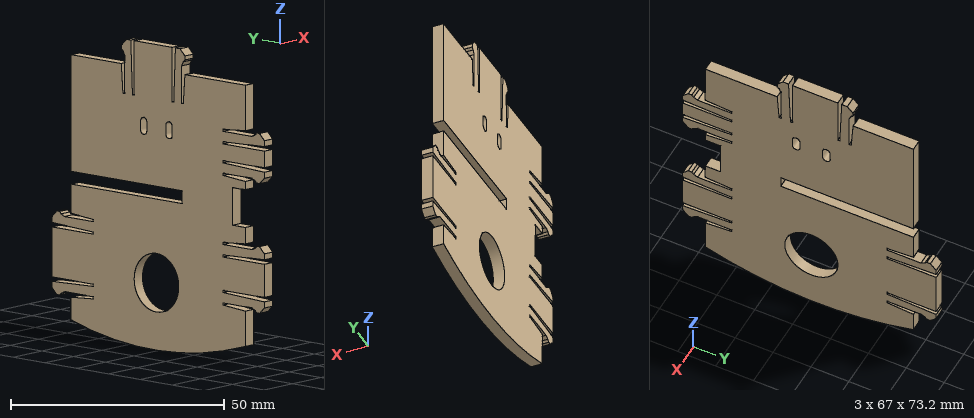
import cadquery as cq
import math

THICKNESS = 3.0
TOTAL_HEIGHT = 73.15
BODY_WIDTH = 55.0
BOTTOM_RADIUS = 93.6

TAB_REACH = 6.0
SLOT_DEPTH = 7.0
CORE_GAP_TIP = 1.0
CORE_GAP_ROOT = 0.5
FINGER_OUTSIDE = 3.0
OUTER_SLOT_ROOT = 3.5
HOOK_OUTSIDE = 4.0
HOOK_CHAMFER = 1.5
HOOK_FLAT = 0.95
HOOK_BACK_STEP = 0.5
NECK_SLOPE_LENGTH = 1.0

TOP_CORE = 12.0
LEFT_CORE = 12.0
UPPER_RIGHT_CORE = 4.0
LOWER_RIGHT_CORE = 8.0

EDGE_Y = BODY_WIDTH / 2
BODY_TOP = TOTAL_HEIGHT / 2 - TAB_REACH
BODY_BOTTOM = -TOTAL_HEIGHT / 2

TOP_TAB_Y = 1.5
LEFT_TAB_Z = BODY_TOP - 48.0
UPPER_RIGHT_TAB_Z = BODY_TOP - 17.0
LOWER_RIGHT_TAB_Z = BODY_TOP - 46.0

LONG_SLOT_LENGTH = 35.0
LONG_SLOT_TOP = BODY_TOP - 27.95
LONG_SLOT_WIDTH = 3.0
NOTCH_DEPTH = 4.0
NOTCH_TOP = BODY_TOP - 25.0
NOTCH_HEIGHT = 9.0

HOLE_AXIS_Y = 0.5
ROUND_HOLE_DIAMETER = 14.0
ROUND_HOLE_Z = BODY_TOP - 51.0
OVAL_LENGTH = 4.0
OVAL_WIDTH = 2.0
OVAL_SPACING = 8.0
OVAL_Z = BODY_TOP - 14.0


def half_tab(core_width):
    """Half a tab as (distance from tab axis, distance out from plate edge), outside to core."""
    core = core_width / 2
    hook = core + HOOK_OUTSIDE
    finger = core + FINGER_OUTSIDE
    flat_front = TAB_REACH - HOOK_CHAMFER
    flat_back = flat_front - HOOK_FLAT
    neck_top = flat_back - HOOK_BACK_STEP
    return [
        (hook, 0),
        (core + OUTER_SLOT_ROOT, -SLOT_DEPTH),
        (finger, -SLOT_DEPTH),
        (finger, neck_top - NECK_SLOPE_LENGTH),
        (hook - HOOK_BACK_STEP, neck_top),
        (hook, flat_back),
        (hook, flat_front),
        (hook - HOOK_CHAMFER, TAB_REACH),
        (core + CORE_GAP_TIP, TAB_REACH),
        (core + CORE_GAP_ROOT, -SLOT_DEPTH),
        (core, -SLOT_DEPTH),
        (core, TAB_REACH),
    ]


def tab(center, along, core_width):
    """Outline of a whole tab, walking along a plate edge with the plate on the left."""
    center_y, center_z = center
    along_y, along_z = along
    half = half_tab(core_width)
    profile = [(-across, out) for across, out in half]
    profile += reversed(half)
    return [
        (center_y + across * along_y + out * along_z, center_z + across * along_z - out * along_y)
        for across, out in profile
    ]


def bottom_z(y):
    """Height of the bottom arc at a given Y."""
    return BODY_BOTTOM + BOTTOM_RADIUS - math.sqrt(BOTTOM_RADIUS**2 - (y - TOP_TAB_Y) ** 2)


def plate():
    """Plate with its tabs, long slot and notch, outlined counterclockwise in (Y, Z)."""
    up = (0, 1)
    toward_minus_y = (-1, 0)
    down = (0, -1)
    slot_end_y = EDGE_Y - LONG_SLOT_LENGTH
    slot_bottom = LONG_SLOT_TOP - LONG_SLOT_WIDTH
    notch_y = -EDGE_Y + NOTCH_DEPTH
    notch_bottom = NOTCH_TOP - NOTCH_HEIGHT

    points = tab((EDGE_Y, LEFT_TAB_Z), up, LEFT_CORE)
    points += [
        (EDGE_Y, slot_bottom),
        (slot_end_y, slot_bottom),
        (slot_end_y, LONG_SLOT_TOP),
        (EDGE_Y, LONG_SLOT_TOP),
        (EDGE_Y, BODY_TOP),
    ]
    points += tab((TOP_TAB_Y, BODY_TOP), toward_minus_y, TOP_CORE)
    points.append((-EDGE_Y, BODY_TOP))
    points += tab((-EDGE_Y, UPPER_RIGHT_TAB_Z), down, UPPER_RIGHT_CORE)
    points += [
        (-EDGE_Y, NOTCH_TOP),
        (notch_y, NOTCH_TOP),
        (notch_y, notch_bottom),
        (-EDGE_Y, notch_bottom),
    ]
    points += tab((-EDGE_Y, LOWER_RIGHT_TAB_Z), down, LOWER_RIGHT_CORE)

    return (
        cq.Workplane("YZ", origin=(-THICKNESS / 2, 0, 0))
        .moveTo(EDGE_Y, bottom_z(EDGE_Y))
        .polyline(points, includeCurrent=True)
        .lineTo(-EDGE_Y, bottom_z(-EDGE_Y))
        .threePointArc((TOP_TAB_Y, BODY_BOTTOM), (EDGE_Y, bottom_z(EDGE_Y)))
        .close()
        .extrude(THICKNESS)
    )


def round_hole():
    return (
        cq.Workplane("YZ", origin=(-THICKNESS / 2, 0, 0))
        .center(HOLE_AXIS_Y, ROUND_HOLE_Z)
        .circle(ROUND_HOLE_DIAMETER / 2)
        .extrude(THICKNESS)
    )


def oval_holes():
    offset = OVAL_SPACING / 2
    return (
        cq.Workplane("YZ", origin=(-THICKNESS / 2, 0, 0))
        .center(HOLE_AXIS_Y, OVAL_Z)
        .pushPoints([(-offset, 0), (offset, 0)])
        .slot2D(OVAL_LENGTH, OVAL_WIDTH, 90)
        .extrude(THICKNESS)
    )


result = plate().cut(round_hole()).cut(oval_holes())